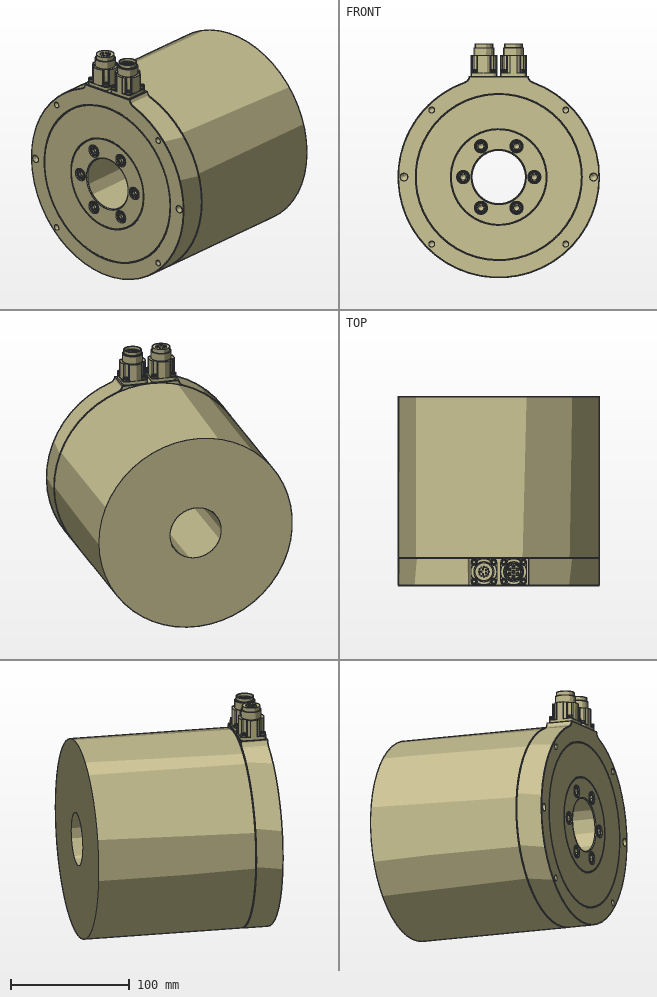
import cadquery as cq
import math

body_diameter = 170.0
body_length = 159.5
body_radius = body_diameter / 2
flange_thickness = 23.5
edge_chamfer = 0.5
bore_diameter = 45.0
bore_chamfer = 0.8

pad_half_width = 24.9
pad_height = body_radius
blend_radius = 6.0

gap_inner_diameters = (80.0, 139.5)
gap_width = 0.8
gap_depth = 2.0

rim_circle_radius = 80.0
rim_screw_diameter = 5.0
rim_screw_angles = (45, 135, 225, 315)
rim_pin_diameter = 6.5
rim_pin_angles = (0, 180)
rim_hole_depth = 11.8
drill_point_angle = 118

hub_screw_count = 6
hub_circle_radius = 30.0
counterbore_diameter = 9.5
counterbore_depth = 5.5
counterbore_chamfer = 0.8
hub_head_diameter = 8.5
hub_head_height = 5.0
hub_head_chamfer = 0.5
hub_socket_diameter = 6.0
hub_socket_depth = 2.5

connector_spacing = 25.0
connector_y = 11.8
base_side = 21.7
base_height = 2.8
base_corner_radius = 3.2
shell_height = 14.6
shell_flat_width = 1.2
shell_diameter = math.hypot(base_side, shell_flat_width)
key_width = 6.0
neck_diameter = 17.0
neck_height = 6.5
mouth_diameter = 15.0
mouth_height = 3.5

corner_screw_offset = 8.3
corner_relief_diameter = 5.0
side_face_width = 10.7
washer_diameter = 5.0
washer_height = 0.7
corner_head_diameter = 4.5
corner_head_height = 2.2
corner_socket_diameter = 3.2
corner_socket_depth = 1.2

signal_contact_diameter = 1.0
signal_contact_depth = 2.0
signal_rings = ((12, 4.1, 0), (5, 2.2, 36))
power_cavity_diameter = 13.8
power_cavity_depth = 3.0
power_insert_diameter = 11.8
power_insert_height = 1.0
power_socket_diameter = 2.8
power_pin_diameter = 1.5
power_pin_length = 2.4
power_rings = ((6, 4.0, 30), (1, 0, 0))

base_top = pad_height + base_height
shell_top = base_top + shell_height
neck_top = shell_top + neck_height
mouth_top = neck_top + mouth_height


def cylinder_y(diameter, y_start, length):
    """Cylinder along +Y on the motor axis."""
    return cq.Workplane("XZ", origin=(0, y_start, 0)).circle(diameter / 2).extrude(-length)


def cylinder_z(diameter, z_start, height):
    """Cylinder along +Z."""
    return cq.Workplane("XY", origin=(0, 0, z_start)).circle(diameter / 2).extrude(height)


def polar_points(count, radius, start_angle):
    """Evenly spaced (u, v) points on a circle."""
    angles = [math.radians(start_angle + 360 * i / count) for i in range(count)]
    return [(radius * math.cos(a), radius * math.sin(a)) for a in angles]


def flange_pad():
    """Pad joining the connectors to the round flange, with tangent concave blends."""
    centre_x = pad_half_width + blend_radius
    centre_distance = body_radius + blend_radius
    centre_z = math.sqrt(centre_distance**2 - centre_x**2)
    tangent_x = centre_x * body_radius / centre_distance
    tangent_z = centre_z * body_radius / centre_distance
    start_angle = math.asin((pad_height - centre_z) / blend_radius)
    start_x = centre_x - blend_radius * math.cos(start_angle)
    end_angle = math.atan2(centre_z, centre_x)
    middle_angle = (end_angle - start_angle) / 2
    middle_x = centre_x - blend_radius * math.cos(middle_angle)
    middle_z = centre_z - blend_radius * math.sin(middle_angle)
    return (
        cq.Workplane("XZ")
        .moveTo(-start_x, pad_height)
        .lineTo(start_x, pad_height)
        .threePointArc((middle_x, middle_z), (tangent_x, tangent_z))
        .lineTo(0, 0)
        .lineTo(-tangent_x, tangent_z)
        .threePointArc((-middle_x, middle_z), (-start_x, pad_height))
        .close()
        .extrude(-flange_thickness)
    )


def motor_body():
    """Flange and housing with the bore and the ring gaps, chamfered at the flange edges."""
    flange = cylinder_y(body_diameter, 0, flange_thickness).union(flange_pad()).clean()
    flange = flange.faces("<Y or >Y").edges().chamfer(edge_chamfer)
    housing = cylinder_y(body_diameter, flange_thickness, body_length - flange_thickness)
    housing = housing.faces("<Y").edges().chamfer(edge_chamfer)
    bore = cylinder_y(bore_diameter, 0, body_length)
    body = flange.union(housing).cut(bore)
    for inner_diameter in gap_inner_diameters:
        outer = cylinder_y(inner_diameter + 2 * gap_width, 0, gap_depth)
        body = body.cut(outer.cut(cylinder_y(inner_diameter, 0, gap_depth)))
    return body.cut(chamfer_cone(bore_diameter, bore_chamfer))


def chamfer_cone(diameter, chamfer):
    """Cone along +Y that chamfers the mouth of a hole in the front face."""
    radius = diameter / 2
    cone = cq.Solid.makeCone(radius + chamfer, radius, chamfer, cq.Vector(0, 0, 0), cq.Vector(0, 1, 0))
    return cq.Workplane(cone)


def rim_hole(diameter, angle):
    """Blind drilled hole with a conical bottom, along +Y."""
    radius = diameter / 2
    tip_length = radius / math.tan(math.radians(drill_point_angle / 2))
    x, z = polar_points(1, rim_circle_radius, angle)[0]
    hole = cylinder_y(diameter, 0, rim_hole_depth)
    tip = cq.Solid.makeCone(radius, 0, tip_length, cq.Vector(0, rim_hole_depth, 0), cq.Vector(0, 1, 0))
    return hole.union(cq.Workplane(tip)).translate((x, 0, z))


def hex_socket(corner_diameter, depth):
    """Hexagonal socket sunk below the origin along -Z, with a conical bottom."""
    flat_radius = corner_diameter / 2 * math.cos(math.pi / 6)
    tip_length = flat_radius / math.tan(math.radians(drill_point_angle / 2))
    tip = cq.Solid.makeCone(flat_radius, 0, tip_length, cq.Vector(0, 0, -depth), cq.Vector(0, 0, -1))
    return cq.Workplane("XY").polygon(6, corner_diameter).extrude(-depth).union(cq.Workplane(tip))


def counterbore():
    """Counterbore along +Y, widened by a chamfer at its mouth."""
    mouth = chamfer_cone(counterbore_diameter, counterbore_chamfer)
    return cylinder_y(counterbore_diameter, 0, counterbore_depth).union(mouth)


def hub_screw():
    """Socket head screw sitting on the counterbore floor."""
    head_y = counterbore_depth - hub_head_height
    head = cylinder_y(hub_head_diameter, head_y, hub_head_height)
    head = head.faces("<Y").edges().chamfer(hub_head_chamfer)
    socket = hex_socket(hub_socket_diameter, hub_socket_depth)
    socket = socket.rotate((0, 0, 0), (1, 0, 0), 90).translate((0, head_y, 0))
    return head.cut(socket)


def connector_shell(key_direction):
    """Round shell trimmed to the base, with a flat key and four corner reliefs."""
    limit = cq.Workplane("XY", origin=(0, 0, base_top)).rect(base_side, base_side).extrude(shell_height)
    shell = cylinder_z(shell_diameter, base_top, shell_height).intersect(limit)
    key = (
        cq.Workplane("XY", origin=(0, 0, base_top))
        .center(base_side / 4, 0)
        .rect(base_side / 2, key_width)
        .extrude(shell_height)
        .rotate((0, 0, 0), (0, 0, 1), key_direction)
    )
    shell = shell.union(key)
    screw = corner_screw_offset
    edge = side_face_width / 2
    relief = cylinder_z(corner_relief_diameter, base_top, shell_height).translate((screw, screw, 0))
    for x, y in ((edge, screw), (screw, edge)):
        corner = cq.Workplane("XY", origin=(x, y, base_top)).rect(base_side, base_side, centered=False)
        relief = relief.union(corner.extrude(shell_height))
    for i in range(4):
        shell = shell.cut(relief.rotate((0, 0, 0), (0, 0, 1), 90 * i))
    return shell


def corner_screw():
    """Washer and socket head standing on the connector base."""
    head_z = base_top + washer_height
    head_top = head_z + corner_head_height
    screw = cylinder_z(washer_diameter, base_top, washer_height)
    screw = screw.union(cylinder_z(corner_head_diameter, head_z, corner_head_height))
    socket = hex_socket(corner_socket_diameter, corner_socket_depth).translate((0, 0, head_top))
    return screw.cut(socket)


def connector(key_direction):
    """Connector on the Z axis without its contacts."""
    base = (
        cq.Workplane("XY", origin=(0, 0, pad_height))
        .rect(base_side, base_side)
        .extrude(base_height)
        .edges("|Z")
        .fillet(base_corner_radius)
    )
    part = base.union(connector_shell(key_direction))
    part = part.union(cylinder_z(neck_diameter, shell_top, neck_height))
    part = part.union(cylinder_z(mouth_diameter, neck_top, mouth_height))
    for x in (-corner_screw_offset, corner_screw_offset):
        for y in (-corner_screw_offset, corner_screw_offset):
            part = part.union(corner_screw().translate((x, y, 0)))
    return part


def contacts(rings, diameter, top, depth):
    """Round contacts reaching down from the given height."""
    points = [point for ring in rings for point in polar_points(*ring)]
    return (
        cq.Workplane("XY", origin=(0, 0, top))
        .pushPoints(points)
        .circle(diameter / 2)
        .extrude(-depth)
    )


def signal_connector():
    """Connector with its key toward -X and small contact holes in the mouth."""
    holes = contacts(signal_rings, signal_contact_diameter, mouth_top, signal_contact_depth)
    return connector(180).cut(holes)


def power_connector():
    """Connector with its key toward -Y and pins standing in holes of a low insert."""
    floor_z = mouth_top - power_cavity_depth
    insert_top = floor_z + power_insert_height
    cavity = cylinder_z(power_cavity_diameter, floor_z, power_cavity_depth)
    insert = cylinder_z(power_insert_diameter, floor_z, power_insert_height)
    sockets = contacts(power_rings, power_socket_diameter, insert_top, power_pin_length)
    pins = contacts(power_rings, power_pin_diameter, insert_top, power_pin_length)
    return connector(270).cut(cavity).union(insert).cut(sockets.cut(pins))


result = motor_body()
for angle in rim_screw_angles:
    result = result.cut(rim_hole(rim_screw_diameter, angle))
for angle in rim_pin_angles:
    result = result.cut(rim_hole(rim_pin_diameter, angle))
for x, z in polar_points(hub_screw_count, hub_circle_radius, 0):
    result = result.cut(counterbore().translate((x, 0, z)))
    result = result.union(hub_screw().translate((x, 0, z)))
result = result.union(signal_connector().translate((-connector_spacing / 2, connector_y, 0)))
result = result.union(power_connector().translate((connector_spacing / 2, connector_y, 0)))